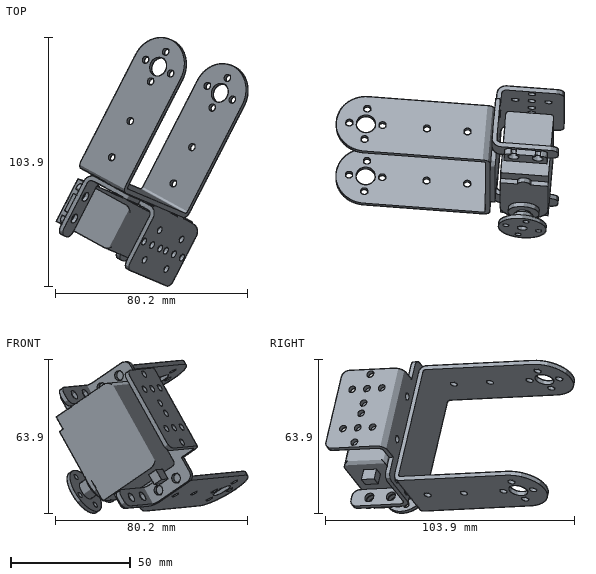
import cadquery as cq
import math


sheet = 2.0
screw_hole = 3.0
big_screw_hole = 4.0

arm_width = 24.9
arm_half_span = 28.0
arm_pivot_y = 53.1
arm_bend_radius = 3.0
arm_hole_ys = (10.5, 27.5)
pivot_hole = 8.0
pivot_screw_radius = 7.0

servo_y = -14.5
sheet_end_y = -28.0
bend_inner = 2.0
bend_outer = bend_inner + sheet
base_half_z = 29.0
base_left_x = -16.6
base_corner = 3.1
base_bolt_xs = (-9.8, 0.0)
base_bolt_z = 25.0
base_vent_x = -16.9
base_vent_z = 10.4
ear_outer_x = 6.2
ear_inner_z = 21.0
ear_corner = 3.1
tongue_end_x = 11.7
tongue_half_z = 19.0
tongue_corner = 3.1
relief_start_x = -0.5
flange_outer_x = -26.1
flange_half_z = 19.0
flange_corner = 3.1
flange_column_zs = (2.5, 9.6, 16.6)
flange_side_pitch = 7.0
flange_side_z = 9.6

servo_length = 41.0
servo_width = 20.0
servo_bottom_x = -14.6
servo_cap_x = 14.3
servo_edge_radius = 2.4
gear_cover_height = 2.0
gear_cover_end_z = -14.5
cover_lug_radius = 2.8
cover_lug_z = -14.1
collar_diameter = 13.0
collar_height = 2.0
neck_diameter = 6.0
neck_height = 1.0
hub_diameter = 8.0
horn_diameter = 20.0
horn_inner_x = 23.6
horn_outer_x = 25.2
horn_hole = 2.5
horn_hole_radius = 7.1
horn_turn = -13.5
horn_bore = 4.0
tab_thickness = 2.5
tab_half_z = 27.7
tab_width = 18.1
tab_corner = 2.1
tab_hole = 4.6
tab_slot_width = 2.1
tab_hole_pitch = 10.2
plug_size = (4.0, 6.0, 4.8)
plug_x = -8.3
plug_y = -13.5

shaft_z = servo_length / 2 - servo_width / 2

turn_about_x = 177.06
turn_about_y = 31.0
turn_about_z = 151.33
position = (-8.3, -13.2, -0.8)


def box(x0, x1, y0, y1, z0, z1):
    return cq.Workplane("XY").box(x1 - x0, y1 - y0, z1 - z0, centered=False).translate((x0, y0, z0))


def rod_x(diameter, x0, x1, y, z):
    return cq.Workplane("YZ", origin=(x0, y, z)).circle(diameter / 2).extrude(x1 - x0)


def rod_y(diameter, y0, y1, x, z):
    return cq.Workplane("XZ", origin=(x, y0, z)).circle(diameter / 2).extrude(y0 - y1)


def rod_z(diameter, z0, z1, x, y):
    return cq.Workplane("XY", origin=(x, y, z0)).circle(diameter / 2).extrude(z1 - z0)


def u_bracket():
    body = box(-arm_width / 2, arm_width / 2, 0, arm_pivot_y, -arm_half_span, arm_half_span)
    body = body.faces("<Y").edges("|X").fillet(arm_bend_radius)
    inner_z = arm_half_span - sheet
    gap = box(-arm_width / 2, arm_width / 2, sheet, arm_pivot_y, -inner_z, inner_z)
    body = body.cut(gap.faces("<Y").edges("|X").fillet(arm_bend_radius - sheet))
    for z0 in (-arm_half_span, inner_z):
        body = body.union(rod_z(arm_width, z0, z0 + sheet, 0, arm_pivot_y))
    reach = arm_half_span + sheet
    body = body.cut(rod_z(pivot_hole, -reach, reach, 0, arm_pivot_y))
    for y in arm_hole_ys:
        body = body.cut(rod_z(screw_hole, -reach, reach, 0, y))
    for dx, dy in ((1, 0), (-1, 0), (0, 1), (0, -1)):
        x = dx * pivot_screw_radius
        y = arm_pivot_y + dy * pivot_screw_radius
        body = body.cut(rod_z(screw_hole, -reach, reach, x, y))
    return body


def bent_sheet(outer_x, z0, z1, corner):
    """Sheet folded at outer_x: it leaves the base at the relief, then turns toward -Y."""
    side = math.copysign(1, outer_x)
    inner_x = outer_x - side * sheet
    root_x = relief_start_x
    outer = box(min(root_x, outer_x), max(root_x, outer_x), sheet_end_y, 0, z0, z1)
    outer = outer.faces(">Y").edges("|Z").edges(">X" if side > 0 else "<X").fillet(bend_outer)
    outer = outer.faces("<Y").edges("|X").fillet(corner)
    inner = box(min(root_x, inner_x), max(root_x, inner_x), sheet_end_y, -sheet, z0, z1)
    inner = inner.faces(">Y").edges("|Z").edges(">X" if side > 0 else "<X").fillet(bend_inner)
    return outer.cut(inner)


def servo_bracket():
    base = box(base_left_x, relief_start_x, -sheet, 0, -base_half_z, base_half_z)
    base = base.edges("|Y and <X").fillet(base_corner)
    tongue = box(base_left_x, tongue_end_x, -sheet, 0, -tongue_half_z, tongue_half_z)
    body = base.union(tongue.edges("|Y and >X").fillet(tongue_corner))
    body = body.union(bent_sheet(flange_outer_x, -flange_half_z, flange_half_z, flange_corner))
    for z0, z1 in ((-base_half_z, -ear_inner_z), (ear_inner_z, base_half_z)):
        body = body.union(bent_sheet(ear_outer_x, z0, z1, ear_corner))
    flange_inner_x = flange_outer_x + sheet
    for side in (-1, 1):
        for x in base_bolt_xs:
            body = body.cut(rod_y(big_screw_hole, -sheet, 0, x, side * base_bolt_z))
        body = body.cut(rod_y(screw_hole, -sheet, 0, base_vent_x, side * base_vent_z))
        for dy in (-tab_hole_pitch / 2, tab_hole_pitch / 2):
            ear_hole = rod_x(big_screw_hole, ear_outer_x - sheet, ear_outer_x, servo_y + dy, side * base_bolt_z)
            body = body.cut(ear_hole)
        flange_holes = [(0, z) for z in flange_column_zs]
        flange_holes += [(dy, flange_side_z) for dy in (-flange_side_pitch, flange_side_pitch)]
        for dy, z in flange_holes:
            body = body.cut(rod_x(screw_hole, flange_outer_x, flange_inner_x, servo_y + dy, side * z))
    return body


def mounting_tab(side):
    root_z = servo_length / 2
    top_x = ear_outer_x + tab_thickness
    y0 = servo_y - tab_width / 2
    tab = box(ear_outer_x, top_x, y0, y0 + tab_width, root_z, tab_half_z)
    tab = tab.edges("|X and >Z").fillet(tab_corner)
    half_slot = tab_slot_width / 2
    for dy in (-tab_hole_pitch / 2, tab_hole_pitch / 2):
        y = servo_y + dy
        tab = tab.cut(rod_x(tab_hole, ear_outer_x, top_x, y, base_bolt_z))
        tab = tab.cut(box(ear_outer_x, top_x, y - half_slot, y + half_slot, base_bolt_z, tab_half_z))
    return tab if side > 0 else tab.mirror("XY")


def servo_case():
    half_y = servo_width / 2
    half_z = servo_length / 2
    case = box(servo_bottom_x, servo_cap_x, servo_y - half_y, servo_y + half_y, -half_z, half_z)
    case = case.faces("<X").edges().fillet(servo_edge_radius)
    cover_x = servo_cap_x + gear_cover_height
    cover = box(servo_cap_x, cover_x, servo_y - half_y, servo_y + half_y, gear_cover_end_z, shaft_z)
    case = case.union(cover)
    case = case.union(rod_x(servo_width, servo_cap_x, cover_x, servo_y, shaft_z))
    case = case.union(rod_x(2 * cover_lug_radius, servo_cap_x, cover_x, servo_y, cover_lug_z))
    for side in (-1, 1):
        case = case.union(mounting_tab(side))
    plug_length, plug_width, plug_height = plug_size
    plug = cq.Workplane("XY").box(plug_length, plug_width, plug_height)
    return case.union(plug.translate((plug_x, plug_y, half_z + plug_height / 2)))


def output_horn():
    cover_x = servo_cap_x + gear_cover_height
    collar_x = cover_x + collar_height
    neck_x = collar_x + neck_height
    horn = rod_x(collar_diameter, cover_x, collar_x, servo_y, shaft_z)
    horn = horn.union(rod_x(neck_diameter, collar_x, neck_x, servo_y, shaft_z))
    horn = horn.union(rod_x(hub_diameter, neck_x, horn_inner_x, servo_y, shaft_z))
    horn = horn.union(rod_x(horn_diameter, horn_inner_x, horn_outer_x, servo_y, shaft_z))
    for quarter in range(4):
        angle = math.radians(horn_turn + 90 * quarter)
        y = servo_y + horn_hole_radius * math.cos(angle)
        z = shaft_z + horn_hole_radius * math.sin(angle)
        horn = horn.cut(rod_x(horn_hole, horn_inner_x, horn_outer_x, y, z))
    return horn.cut(rod_x(horn_bore, horn_inner_x, horn_outer_x, servo_y, shaft_z))


assembly = u_bracket().union(servo_bracket()).union(servo_case()).union(output_horn())
for axis_end, angle in (((1, 0, 0), turn_about_x), ((0, 1, 0), turn_about_y), ((0, 0, 1), turn_about_z)):
    assembly = assembly.rotate((0, 0, 0), axis_end, angle)
result = assembly.translate(position)